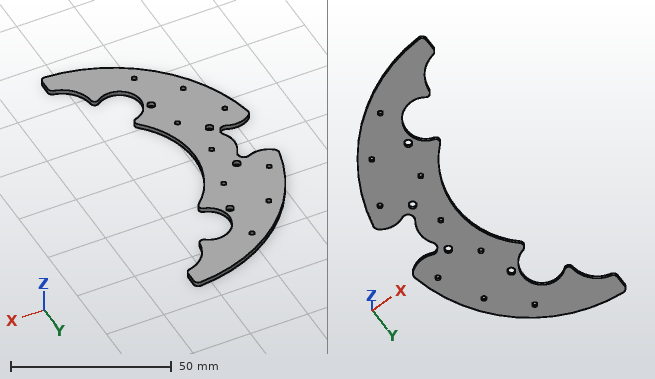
import cadquery as cq
import math

thickness = 1.6
outer_radius = 53.5
inner_radius = 28.3
end_x = -1.6

small_hole_diameter = 1.6
large_hole_diameter = 2.5
outer_pitch_radius = 49.1
outer_hole_angles = (124.6, 143.3, 162.0)
inner_pitch_radius = 34.3
inner_hole_angle = 152.6
large_hole_positions = ((38.2, 135.0), (39.4, 166.3))

pocket_radius = 7.4
pocket_pitch_radius = 35.2
pocket_angle = 120.2
scallop_radius = 10.6
scallop_center = (-0.6, 36.2)

lobe_radius = 8.0
notch_root_radius = 2.1

end_corner_radius = 1.6
tip_radius = 1.4
lobe_corner_radius = 2.0


def polar(radius, angle):
    """Point at a radius and an angle in degrees about the origin."""
    return (radius * math.cos(math.radians(angle)), radius * math.sin(math.radians(angle)))


def mirrored(point):
    """Reflection of a point across the X axis."""
    return (point[0], -point[1])


def both_sides(points):
    """The points together with their reflections."""
    return points + [mirrored(point) for point in points]


def discs(points, radius):
    """Full-thickness cylinders at the given points."""
    return cq.Workplane("XY").pushPoints(points).circle(radius).extrude(thickness)


def prism(points):
    """Full-thickness block with the given polygon as its outline."""
    return cq.Workplane("XY").polyline(points).close().extrude(thickness)


def crescent():
    ring = cq.Workplane("XY").circle(outer_radius).circle(inner_radius).extrude(thickness)
    left_side = (
        cq.Workplane("XY")
        .rect(2 * outer_radius, 2 * outer_radius)
        .extrude(thickness)
        .translate((end_x - outer_radius, 0, 0))
    )
    return ring.intersect(left_side)


def circle_crossings(center_a, radius_a, center_b, radius_b):
    """The two points where a pair of circles cross."""
    dx = center_b[0] - center_a[0]
    dy = center_b[1] - center_a[1]
    distance = math.hypot(dx, dy)
    along = (radius_a**2 - radius_b**2 + distance**2) / (2 * distance)
    across = math.sqrt(radius_a**2 - along**2)
    foot_x = center_a[0] + along * dx / distance
    foot_y = center_a[1] + along * dy / distance
    shift_x = across * dy / distance
    shift_y = across * dx / distance
    return [(foot_x + shift_x, foot_y - shift_y), (foot_x - shift_x, foot_y + shift_y)]


def tangent_center(center_a, radius_a, center_b, radius_b, radius):
    """Centre of a circle touching circles a and b from outside, left of the way from a to b."""
    return circle_crossings(center_a, radius_a + radius, center_b, radius_b + radius)[1]


def notch():
    """Gap between the lobes, ending in two round roots tangent to them."""
    root = tangent_center(middle_hole, lobe_radius, lobe_center, lobe_radius, notch_root_radius)
    mouth = (-outer_radius - lobe_radius, lobe_center[1])
    upper_outline = [mouth, lobe_center, root, middle_hole]
    lower_outline = [mirrored(point) for point in upper_outline[-2::-1]]
    gap = prism(upper_outline + lower_outline)
    gap = gap.cut(discs(both_sides([lobe_center]) + [middle_hole], lobe_radius))
    return gap.union(discs(both_sides([root]), notch_root_radius))


def inner_cutout():
    """Pocket and scallop on the +Y side, with the round tip between them left standing."""
    tip = tangent_center(pocket_center, pocket_radius, scallop_center, scallop_radius, tip_radius)
    opening = prism([origin, pocket_center, tip, scallop_center]).cut(discs([tip], tip_radius))
    opening = opening.union(discs([pocket_center], pocket_radius))
    return opening.union(discs([scallop_center], scallop_radius))


def round_corners(body, corners, radius):
    """Round the upright edges at the given corners and at their reflections."""
    for x, y in both_sides(corners):
        edge = cq.selectors.NearestToPointSelector((x, y, thickness / 2))
        body = body.edges("|Z").edges(edge).fillet(radius)
    return body


origin = (0, 0)
pocket_center = polar(pocket_pitch_radius, pocket_angle)
lobe_center = polar(outer_pitch_radius, outer_hole_angles[-1])
middle_hole = (-inner_pitch_radius, 0)

cutout = inner_cutout()
plate = crescent().cut(cutout).cut(cutout.mirror("XZ")).cut(notch())

outer_end = (end_x, math.sqrt(outer_radius**2 - end_x**2))
scallop_reach = math.sqrt(scallop_radius**2 - (end_x - scallop_center[0]) ** 2)
scallop_end = (end_x, scallop_center[1] + scallop_reach)
pocket_inner_tip = min(
    circle_crossings(origin, inner_radius, pocket_center, pocket_radius),
    key=lambda point: point[1],
)
lobe_corner = min(
    circle_crossings(origin, outer_radius, lobe_center, lobe_radius),
    key=lambda point: point[1],
)
plate = round_corners(plate, [outer_end, scallop_end], end_corner_radius)
plate = round_corners(plate, [pocket_inner_tip], tip_radius)
plate = round_corners(plate, [lobe_corner], lobe_corner_radius)

outer_holes = [polar(outer_pitch_radius, angle) for angle in outer_hole_angles]
inner_hole = polar(inner_pitch_radius, inner_hole_angle)
large_holes = [polar(radius, angle) for radius, angle in large_hole_positions]
plate = plate.cut(discs(both_sides(outer_holes + [inner_hole]) + [middle_hole], small_hole_diameter / 2))
result = plate.cut(discs(both_sides(large_holes), large_hole_diameter / 2))